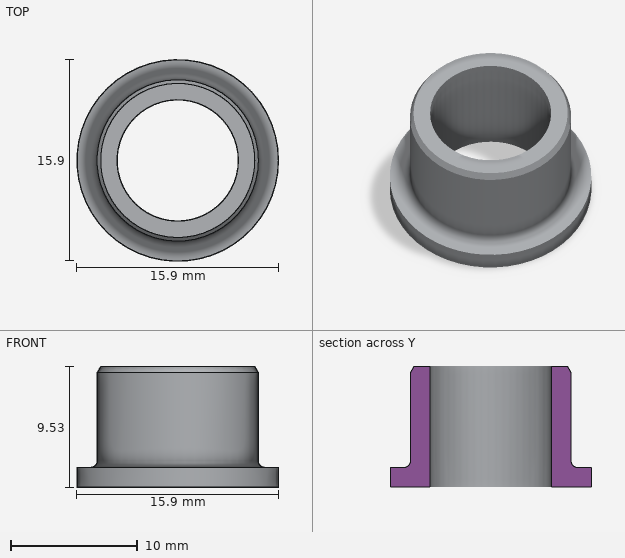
import cadquery as cq
import math

flange_diameter = 15.88
flange_thickness = 1.59
sleeve_diameter = 12.7
bore_diameter = 9.53
total_height = 9.53

fillet_radius = 0.5
chamfer_height = 0.5
chamfer_angle = 30.0
chamfer_width = chamfer_height * math.tan(math.radians(chamfer_angle))

flange_radius = flange_diameter / 2
sleeve_radius = sleeve_diameter / 2
bore_radius = bore_diameter / 2

fillet_mid_offset = fillet_radius * (1 - math.sqrt(0.5))
fillet_mid = (sleeve_radius + fillet_mid_offset, flange_thickness + fillet_mid_offset)
fillet_top = (sleeve_radius, flange_thickness + fillet_radius)

half_section = (
    cq.Workplane("XZ")
    .moveTo(bore_radius, 0)
    .lineTo(flange_radius, 0)
    .lineTo(flange_radius, flange_thickness)
    .lineTo(sleeve_radius + fillet_radius, flange_thickness)
    .threePointArc(fillet_mid, fillet_top)
    .lineTo(sleeve_radius, total_height - chamfer_height)
    .lineTo(sleeve_radius - chamfer_width, total_height)
    .lineTo(bore_radius, total_height)
    .close()
)

result = half_section.revolve(360, (0, 0, 0), (0, 1, 0))